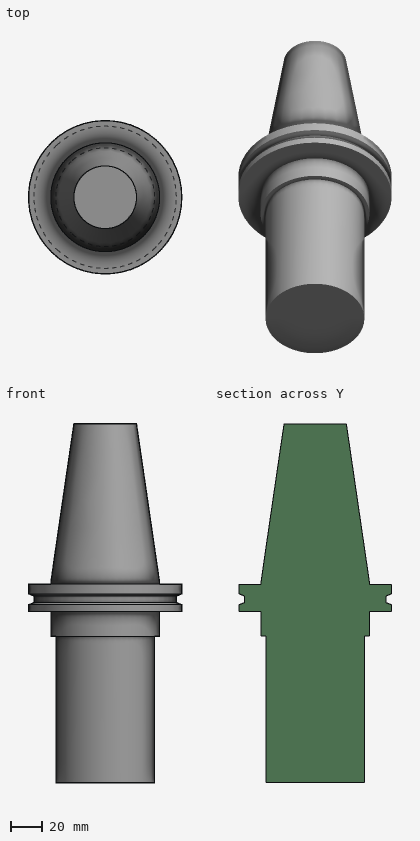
import cadquery as cq

total_height = 230.5
shank_diameter = 63.5
collar_diameter = 69.9
flange_diameter = 98.5
groove_diameter = 91.3

cone_taper = 7 / 24
cone_length = 101.7
cone_tip_diameter = collar_diameter - cone_length * cone_taper

neck_length = 1.4
upper_rim_height = 6.2
groove_mouth_height = 7.0
groove_flank_height = 1.4
lower_rim_height = 4.4
collar_length = 16.0

cone_base_z = total_height - cone_length
flange_top_z = cone_base_z - neck_length
groove_top_z = flange_top_z - upper_rim_height
groove_bottom_z = groove_top_z - groove_mouth_height
flange_bottom_z = groove_bottom_z - lower_rim_height
collar_bottom_z = flange_bottom_z - collar_length


def cylinder(diameter, bottom_z, top_z):
    """Upright cylinder on the Z axis between two heights."""
    return cq.Workplane("XY").workplane(offset=bottom_z).circle(diameter / 2).extrude(top_z - bottom_z)


def revolve_profile(points):
    """Turn a closed (radius, height) outline around the Z axis."""
    return cq.Workplane("XZ").polyline(points).close().revolve(360, (0, 0, 0), (0, 1, 0))


def tool_cone():
    """Solid cone that narrows toward the top."""
    return revolve_profile([
        (0, cone_base_z),
        (collar_diameter / 2, cone_base_z),
        (cone_tip_diameter / 2, total_height),
        (0, total_height),
    ])


def grooved_flange():
    """Flange with a gripper groove that has sloped flanks and a flat floor."""
    rim_radius = flange_diameter / 2
    floor_radius = groove_diameter / 2
    return revolve_profile([
        (0, flange_bottom_z),
        (rim_radius, flange_bottom_z),
        (rim_radius, groove_bottom_z),
        (floor_radius, groove_bottom_z + groove_flank_height),
        (floor_radius, groove_top_z - groove_flank_height),
        (rim_radius, groove_top_z),
        (rim_radius, flange_top_z),
        (0, flange_top_z),
    ])


shank = cylinder(shank_diameter, 0, collar_bottom_z)
collar = cylinder(collar_diameter, collar_bottom_z, flange_bottom_z)
neck = cylinder(collar_diameter, flange_top_z, cone_base_z)

result = shank.union(collar).union(grooved_flange()).union(neck).union(tool_cone())